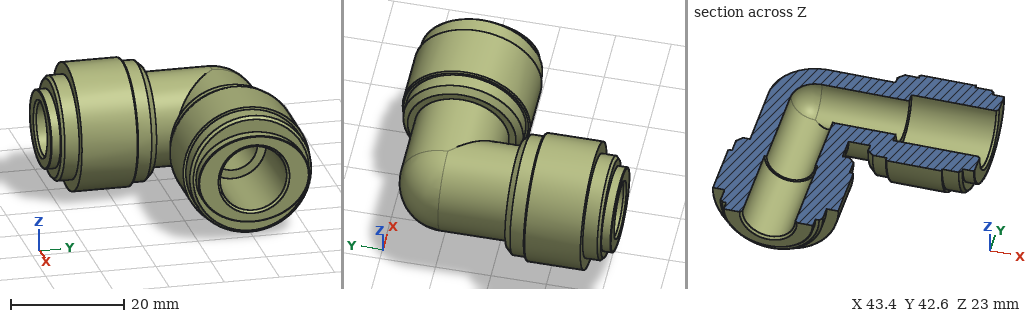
import cadquery as cq


overall_x = 43.4
overall_y = 42.6

pipe_radius = 8.5
bore_radius = 4.43
shoulder_start = 12.35
shoulder_radius = 10.8
shoulder_chamfer_length = 1.15
shoulder_chamfer_depth = 1.05
collar_start = 16.0
collar_end = 26.3
collar_radius = 11.5
collar_chamfer = 0.25
cap_chamfer = 0.5
collet_chamfer = 0.15
collet_wall = 2.1
socket_chamfer = 0.45

large_cap_radius = 11.02
large_cap_end = 29.8
large_collet_end = overall_x - collar_radius
large_collet_half_width = 10.03
large_collet_half_height = 8.1

small_cap_radius = 9.37
small_cap_end = 29.43
small_collet_end = overall_y - collar_radius
small_collet_half_width = 8.2
small_collet_half_height = 6.9


def arm_body(cap_radius, cap_end):
    """Turned pipe, shoulder, collar and end cap, along +X."""
    shoulder_edge_radius = shoulder_radius - shoulder_chamfer_depth
    return (
        cq.Workplane("XY")
        .moveTo(0, 0)
        .lineTo(0, pipe_radius)
        .lineTo(shoulder_start, pipe_radius)
        .lineTo(shoulder_start, shoulder_edge_radius)
        .lineTo(shoulder_start + shoulder_chamfer_length, shoulder_radius)
        .lineTo(collar_start, shoulder_radius)
        .lineTo(collar_start, collar_radius - collar_chamfer)
        .lineTo(collar_start + collar_chamfer, collar_radius)
        .lineTo(collar_end, collar_radius)
        .lineTo(collar_end, cap_radius)
        .lineTo(cap_end - cap_chamfer, cap_radius)
        .lineTo(cap_end, cap_radius - cap_chamfer)
        .lineTo(cap_end, 0)
        .close()
        .revolve(360, (0, 0, 0), (1, 0, 0))
    )


def collet(half_width, half_height, collet_end):
    """Oval release collet projecting from the end cap, along +X."""
    return (
        cq.Workplane("YZ", origin=(collar_end, 0, 0))
        .ellipse(half_width, half_height)
        .extrude(collet_end - collar_end)
        .faces(">X")
        .chamfer(collet_chamfer)
    )


def arm_cavity(socket_radius, collet_end):
    """Bore, tube socket and its chamfered mouth, along +X."""
    mouth_radius = socket_radius + socket_chamfer
    return (
        cq.Workplane("XY")
        .moveTo(0, 0)
        .lineTo(0, bore_radius)
        .lineTo(collar_start, bore_radius)
        .lineTo(collar_start, socket_radius)
        .lineTo(collet_end - socket_chamfer, socket_radius)
        .lineTo(collet_end, mouth_radius)
        .lineTo(collet_end, 0)
        .close()
        .revolve(360, (0, 0, 0), (1, 0, 0))
    )


def arm_solids(cap_radius, cap_end, half_width, half_height, collet_end):
    """Outer solid and cavity of one arm, along +X."""
    outer = arm_body(cap_radius, cap_end)
    outer = outer.union(collet(half_width, half_height, collet_end))
    cavity = arm_cavity(half_height - collet_wall, collet_end)
    return outer, cavity


def turn_to_minus_y(solid):
    return solid.rotate((0, 0, 0), (0, 0, 1), -90)


large_outer, large_cavity = arm_solids(
    large_cap_radius, large_cap_end,
    large_collet_half_width, large_collet_half_height, large_collet_end,
)
small_outer, small_cavity = arm_solids(
    small_cap_radius, small_cap_end,
    small_collet_half_width, small_collet_half_height, small_collet_end,
)

outer = large_outer.union(turn_to_minus_y(small_outer))
outer = outer.union(cq.Workplane("XY").sphere(pipe_radius))
cavity = large_cavity.union(turn_to_minus_y(small_cavity))
cavity = cavity.union(cq.Workplane("XY").sphere(bore_radius))

result = outer.cut(cavity)